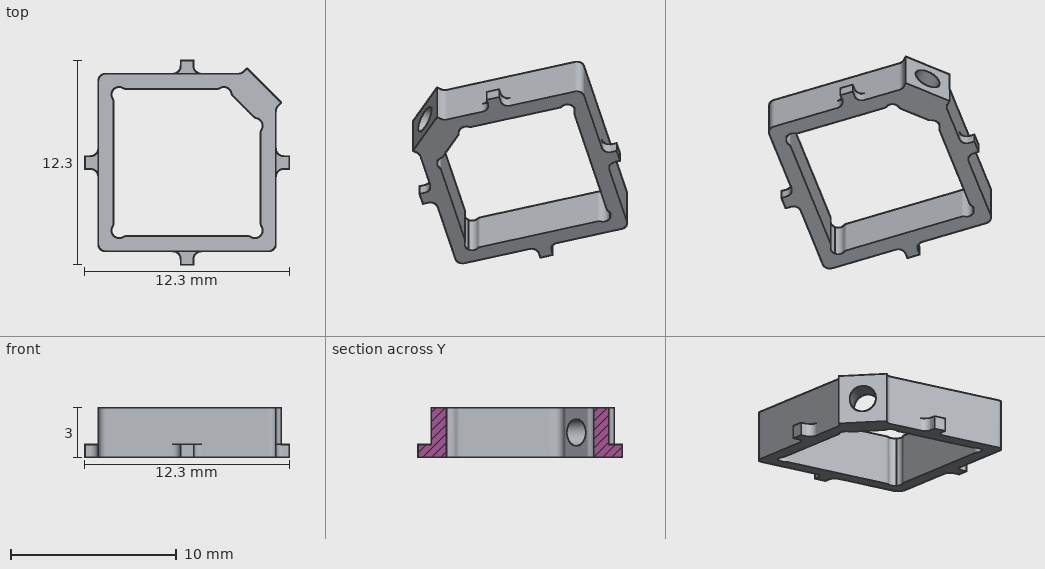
import cadquery as cq
import math

overall_size = 12.33
frame_size = 10.73
frame_height = 3.0
outer_corner_radius = 0.46
opening_size = 8.85

block_inner_distance = 4.8
block_outer_distance = 6.58
block_width = 2.93
block_root_radius = 0.46
block_hole_diameter = 1.6

relief_radius = 0.46
relief_inset = 0.33
relief_blend_radius = 0.36

lug_width = 0.79
lug_height = 0.79
lug_root_radius = 0.46

half_frame = frame_size / 2
half_opening = opening_size / 2


def make_outer_body():
    body = cq.Workplane("XY").rect(frame_size, frame_size).extrude(frame_height)
    body = body.edges("|Z").fillet(outer_corner_radius)
    block = (
        cq.Workplane("XY")
        .rect(block_outer_distance, block_width)
        .extrude(frame_height)
        .translate((block_outer_distance / 2, 0, 0))
        .rotate((0, 0, 0), (0, 0, 1), 45)
    )
    corner_waste = (
        cq.Workplane("XY")
        .rect(overall_size, overall_size)
        .extrude(frame_height)
        .translate((block_outer_distance + overall_size / 2, 0, 0))
        .rotate((0, 0, 0), (0, 0, 1), 45)
    )
    body = body.union(block).cut(corner_waste)
    root_offset = half_frame - block_width / math.sqrt(2)
    for x, y in [(root_offset, half_frame), (half_frame, root_offset)]:
        root_edge = cq.selectors.NearestToPointSelector((x, y, frame_height / 2))
        body = body.edges("|Z").edges(root_edge).fillet(block_root_radius)
    return body


def opening_corners(inset):
    """Corners of the five-sided opening with every wall moved in by inset."""
    wall = half_opening - inset
    chamfer_end = (block_inner_distance - inset) * math.sqrt(2) - wall
    return [(-wall, -wall), (wall, -wall), (wall, chamfer_end), (chamfer_end, wall), (-wall, wall)]


def make_opening():
    """Solid filling the opening, with its corner reliefs blended into the walls."""
    corners = opening_corners(0)
    centres = opening_corners(relief_inset)
    opening = cq.Workplane("XY").polyline(corners).close().extrude(frame_height)
    reliefs = cq.Workplane("XY").pushPoints(centres).circle(relief_radius).extrude(frame_height)
    opening = opening.union(reliefs)

    half_chord = math.sqrt(relief_radius**2 - relief_inset**2)
    for index, start in enumerate(centres):
        end = centres[(index + 1) % len(centres)]
        length = math.dist(start, end)
        along_x = (end[0] - start[0]) / length
        along_y = (end[1] - start[1]) / length
        for distance in (half_chord, length - half_chord):
            x = start[0] + distance * along_x + relief_inset * along_y
            y = start[1] + distance * along_y - relief_inset * along_x
            crossing = cq.selectors.NearestToPointSelector((x, y, frame_height / 2))
            opening = opening.edges("|Z").edges(crossing).fillet(relief_blend_radius)
    return opening


def make_block_hole():
    """Horizontal hole along the diagonal, through the middle of the corner block."""
    return (
        cq.Workplane("YZ")
        .center(0, frame_height / 2)
        .circle(block_hole_diameter / 2)
        .extrude(overall_size)
        .rotate((0, 0, 0), (0, 0, 1), 45)
    )


def make_lug():
    """Lug on the +X side, flaring into the wall with concave root arcs."""
    half_width = lug_width / 2
    root_half_width = half_width + lug_root_radius
    arc_end = half_frame + lug_root_radius
    tip = overall_size / 2
    inner = (half_frame + half_opening) / 2
    return (
        cq.Workplane("XY")
        .moveTo(inner, -root_half_width)
        .lineTo(half_frame, -root_half_width)
        .radiusArc((arc_end, -half_width), lug_root_radius)
        .lineTo(tip, -half_width)
        .lineTo(tip, half_width)
        .lineTo(arc_end, half_width)
        .radiusArc((half_frame, root_half_width), lug_root_radius)
        .lineTo(inner, root_half_width)
        .close()
        .extrude(lug_height)
    )


result = make_outer_body().cut(make_opening()).cut(make_block_hole())
for angle in (0, 90, 180, 270):
    result = result.union(make_lug().rotate((0, 0, 0), (0, 0, 1), angle))